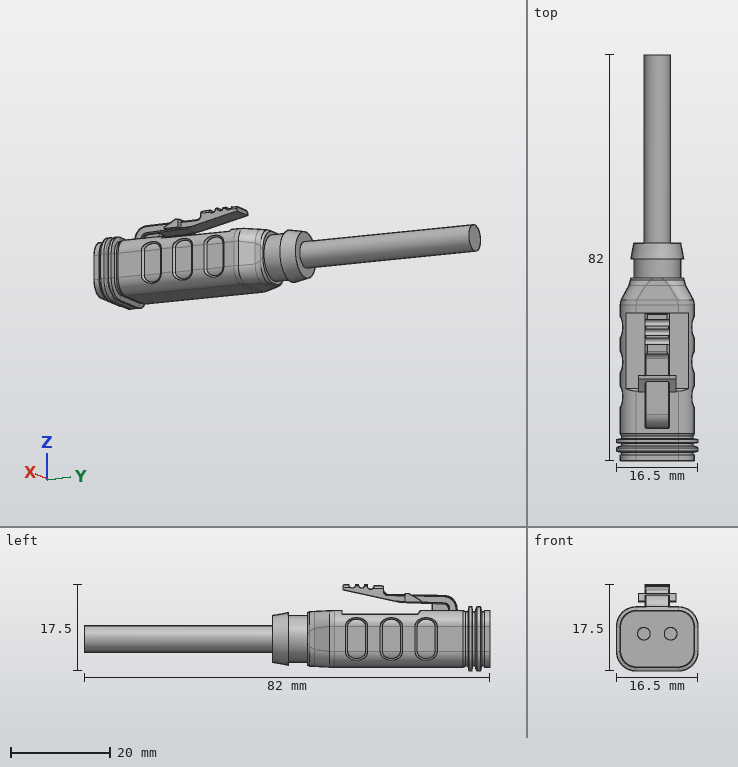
import cadquery as cq
import math


TOTAL_LENGTH = 82.0
OVERALL_WIDTH = 16.51
OVERALL_HEIGHT = 17.46

BODY_WIDTH = 15.0
BODY_HEIGHT = 11.5
BODY_TOP = BODY_HEIGHT / 2
BODY_CORNER = 3.25
BODY_END = 31.5
FACE_CHAMFER = 0.1

SEAL_GROOVE_START = 1.2
SEAL_GROOVE_END = 5.0
SEAL_GROOVE_DEPTH = 0.25
SEAL_GROOVE_RUNOUT = 0.5
SEAL_OVERHANG = (OVERALL_WIDTH - BODY_WIDTH) / 2
SEAL_LIPS = (
    (
        (1.7, -SEAL_GROOVE_DEPTH),
        (1.95, SEAL_OVERHANG),
        (2.65, SEAL_OVERHANG),
        (2.9, 0.35),
        (3.05, -SEAL_GROOVE_DEPTH),
    ),
    (
        (3.55, -SEAL_GROOVE_DEPTH),
        (3.7, SEAL_OVERHANG),
        (4.3, SEAL_OVERHANG),
        (4.5, -SEAL_GROOVE_DEPTH),
    ),
)

CONTACT_DIAMETER = 2.56
CONTACT_PITCH = 5.4
CONTACT_Z = 1.05
CONTACT_DEPTH = 0.8

SHOULDER_END = 36.95
SHOULDER_STATIONS = (
    (32.45, 14.7, 11.46, 3.2),
    (35.45, 11.45, 11.15, 3.4),
    (36.5, 10.9, 11.05, 4.0),
    (SHOULDER_END, 10.6, 10.6, 4.6),
)
NECK_DIAMETER = 9.5
COLLAR_START = 40.8
COLLAR_END = 44.0
COLLAR_DIAMETER = 10.7
CABLE_DIAMETER = 5.4

RECESS_FRONT = 14.65
RECESS_REAR = 29.9
RECESS_DEPTH = 0.75
RECESS_RAMP = 0.55

GRIP_CENTERS = (12.95, 19.97, 27.0)
GRIP_WIDTH = 4.5
GRIP_LENGTH = 9.7
GRIP_DEPTH = 0.45
GRIP_SLOT_TURN = 90
GRIP_WALL_ANGLE = 45
GRIP_REACH = 1.2

LATCH_TOP = OVERALL_HEIGHT - (BODY_TOP + SEAL_OVERHANG)
LATCH_WIDTH = 5.0
LATCH_EDGE = 0.25
LATCH_ROOT_SINK = 0.3
LATCH_FRONT = 6.7
LATCH_FOOT_FLARE = 0.2
BEND_Y = 9.4
BEND_Z = 6.1
BEND_OUTER = BEND_Y - LATCH_FRONT
BEND_INNER = 0.95
ARM_TOP_REAR_Z = 9.0
ARM_UNDERSIDE_REAR = (18.1, 7.35)
PAD_FRONT = 20.7
PAD_WALL_Y = 21.55
PAD_WALL_TOP_Z = 10.6
PAD_WALL_BOTTOM_Z = 9.9
PAD_FOOT_MIDDLE = (21.25, 9.3)
PAD_TOP_FRONT = 22.1
PAD_TOP_REAR = 23.5
PAD_TOP_Z = 10.75
CREST_BEVEL = 0.55
NOTCH = (24.07, 10.05)
TEETH = ((24.8, 25.35), (26.6, 27.2))
VALLEY_DEPTH = 0.65
TIP_TOOTH_FRONT = 28.55
TIP_REAR = 29.75
TIP_BOTTOM_Z = 9.9
TIP_BEVEL = 0.2

BAR_WIDTH = 7.65
BAR_REAR = 17.2
BAR_CREST = 16.5
BAR_FRONT = 13.95
BAR_BOTTOM_Z = 7.5
BAR_NOSE_Z = 7.7
BAR_TOP_Z = 9.2

WEB_WIDTH = 3.0
WEB_FRONT = (LATCH_FRONT + BEND_Y - BEND_INNER) / 2
WEB_REAR = 11.75
WEB_TOP_Z = 7.3


def section(y, width, height, corner):
    """Closed wire of a rounded rectangle standing across the Y axis."""
    rectangle = cq.Workplane("XZ", origin=(0, y, 0)).rect(width, height).val()
    return rectangle.fillet2D(corner, rectangle.Vertices())


def rounded_section(y, grow):
    """Housing outline at position y, offset outward by grow."""
    return section(y, BODY_WIDTH + 2 * grow, BODY_HEIGHT + 2 * grow, BODY_CORNER + grow)


def ruled_loft(*wires):
    return cq.Workplane(obj=cq.Solid.makeLoft(list(wires), True))


def cylinder(diameter, start, end):
    return cq.Workplane("XZ", origin=(0, start, 0)).circle(diameter / 2).extrude(start - end)


def side_profile():
    """Workplane whose local axes are Y and Z, with extrusion along X."""
    return cq.Workplane("YZ")


def make_housing():
    collar = ruled_loft(
        rounded_section(0, -FACE_CHAMFER),
        rounded_section(FACE_CHAMFER, 0),
        rounded_section(SEAL_GROOVE_START, 0),
    )
    groove_floor = ruled_loft(
        rounded_section(SEAL_GROOVE_START, -SEAL_GROOVE_DEPTH),
        rounded_section(SEAL_GROOVE_END, -SEAL_GROOVE_DEPTH),
        rounded_section(SEAL_GROOVE_END + SEAL_GROOVE_RUNOUT, 0),
        rounded_section(BODY_END, 0),
    )
    return collar.union(groove_floor)


def make_seal_lip(profile):
    return ruled_loft(*[rounded_section(y, height) for y, height in profile])


def make_shoulder():
    outlines = [section(*station) for station in SHOULDER_STATIONS]
    return ruled_loft(rounded_section(BODY_END, 0), *outlines)


def make_cable_end():
    neck = cylinder(NECK_DIAMETER, SHOULDER_END, COLLAR_START)
    collar = (
        cq.Workplane("XZ", origin=(0, COLLAR_START, 0))
        .circle(COLLAR_DIAMETER / 2)
        .workplane(offset=COLLAR_START - COLLAR_END)
        .circle(NECK_DIAMETER / 2)
        .loft(ruled=True)
    )
    cable = cylinder(CABLE_DIAMETER, COLLAR_END, TOTAL_LENGTH)
    return neck.union(collar).union(cable)


def make_recess():
    floor_z = BODY_TOP - RECESS_DEPTH
    return (
        side_profile()
        .moveTo(RECESS_FRONT, floor_z)
        .lineTo(RECESS_REAR, floor_z)
        .lineTo(RECESS_REAR, BODY_TOP)
        .lineTo(RECESS_FRONT - RECESS_RAMP, BODY_TOP)
        .close()
        .extrude(BODY_WIDTH / 2, both=True)
    )


def make_grip(y):
    """Slot with sloping walls in the +X side, its floor parallel to the housing surface."""
    slot = (
        cq.Workplane("YZ", origin=(BODY_WIDTH / 2, y, 0))
        .slot2D(GRIP_LENGTH, GRIP_WIDTH, GRIP_SLOT_TURN)
        .extrude(-GRIP_REACH, taper=GRIP_WALL_ANGLE)
    )
    floor = ruled_loft(
        rounded_section(y - GRIP_WIDTH, -GRIP_DEPTH),
        rounded_section(y + GRIP_WIDTH, -GRIP_DEPTH),
    )
    return slot.cut(floor)


def make_contact_holes():
    return (
        cq.Workplane("XZ")
        .pushPoints([(-CONTACT_PITCH / 2, CONTACT_Z), (CONTACT_PITCH / 2, CONTACT_Z)])
        .circle(CONTACT_DIAMETER / 2)
        .extrude(-CONTACT_DEPTH)
    )


def make_crest_bevel(front, rear, top, size):
    """Wedge that bevels the +X edge of a crest between two Y positions."""
    edge = LATCH_WIDTH / 2
    return (
        cq.Workplane("XZ", origin=(0, front, 0))
        .moveTo(edge - size, top)
        .lineTo(edge, top)
        .lineTo(edge, top - size)
        .close()
        .extrude(front - rear)
    )


def make_lever():
    foot_z = BODY_TOP - LATCH_ROOT_SINK
    diagonal = math.sqrt(0.5)
    outline = (
        side_profile()
        .moveTo(LATCH_FRONT - LATCH_FOOT_FLARE, foot_z)
        .lineTo(LATCH_FRONT, BEND_Z)
        .threePointArc(
            (BEND_Y - BEND_OUTER * diagonal, BEND_Z + BEND_OUTER * diagonal),
            (BEND_Y, BEND_Z + BEND_OUTER),
        )
        .lineTo(PAD_FRONT, ARM_TOP_REAR_Z)
        .threePointArc(PAD_FOOT_MIDDLE, (PAD_WALL_Y, PAD_WALL_BOTTOM_Z))
        .lineTo(PAD_WALL_Y, PAD_WALL_TOP_Z)
        .lineTo(PAD_TOP_FRONT, PAD_TOP_Z)
        .lineTo(PAD_TOP_REAR, PAD_TOP_Z)
        .threePointArc(NOTCH, (TEETH[0][0], LATCH_TOP))
    )
    crest_starts = [front for front, rear in TEETH[1:]] + [TIP_TOOTH_FRONT]
    for (front, rear), next_front in zip(TEETH, crest_starts):
        outline = outline.lineTo(rear, LATCH_TOP).threePointArc(
            ((rear + next_front) / 2, LATCH_TOP - VALLEY_DEPTH), (next_front, LATCH_TOP)
        )
    arm_region = cq.selectors.BoxSelector((-LATCH_WIDTH, 0, 0), (LATCH_WIDTH, PAD_WALL_Y, OVERALL_HEIGHT))
    lever = (
        outline.lineTo(TIP_REAR - TIP_BEVEL, LATCH_TOP)
        .lineTo(TIP_REAR, LATCH_TOP - TIP_BEVEL)
        .lineTo(TIP_REAR, TIP_BOTTOM_Z)
        .lineTo(*ARM_UNDERSIDE_REAR)
        .lineTo(BEND_Y, BEND_Z + BEND_INNER)
        .threePointArc(
            (BEND_Y - BEND_INNER * diagonal, BEND_Z + BEND_INNER * diagonal),
            (BEND_Y - BEND_INNER, BEND_Z),
        )
        .lineTo(BEND_Y - BEND_INNER, foot_z)
        .close()
        .extrude(LATCH_WIDTH / 2, both=True)
        .faces("<X or >X")
        .edges(arm_region)
        .chamfer(LATCH_EDGE)
    )
    crests = [
        (PAD_WALL_Y, PAD_TOP_REAR, PAD_TOP_Z, CREST_BEVEL),
        (TIP_TOOTH_FRONT, TIP_REAR, LATCH_TOP, CREST_BEVEL),
    ]
    crests += [(front, rear, LATCH_TOP, LATCH_EDGE) for front, rear in TEETH]
    for crest in crests:
        bevel = make_crest_bevel(*crest)
        lever = lever.cut(bevel).cut(bevel.mirror("YZ"))
    return lever


def make_latch():
    bar = (
        side_profile()
        .moveTo(BAR_REAR, BAR_BOTTOM_Z)
        .lineTo(BAR_REAR, BAR_TOP_Z)
        .lineTo(BAR_CREST, BAR_TOP_Z)
        .lineTo(BAR_FRONT, BAR_NOSE_Z)
        .lineTo(BAR_FRONT, BAR_BOTTOM_Z)
        .close()
        .extrude(BAR_WIDTH / 2, both=True)
    )
    web_foot_z = BODY_TOP - LATCH_ROOT_SINK
    web = (
        side_profile()
        .moveTo(WEB_FRONT, web_foot_z)
        .lineTo(WEB_REAR, web_foot_z)
        .lineTo(WEB_REAR, WEB_TOP_Z)
        .lineTo(WEB_FRONT, WEB_TOP_Z)
        .close()
        .extrude(WEB_WIDTH / 2, both=True)
    )
    return make_lever().union(bar).union(web)


body = make_housing().union(make_shoulder())
for lip in SEAL_LIPS:
    body = body.union(make_seal_lip(lip))
body = body.cut(make_recess())
for grip_y in GRIP_CENTERS:
    grip = make_grip(grip_y)
    body = body.cut(grip).cut(grip.mirror("YZ"))
body = body.cut(make_contact_holes())

result = body.union(make_cable_end()).union(make_latch())